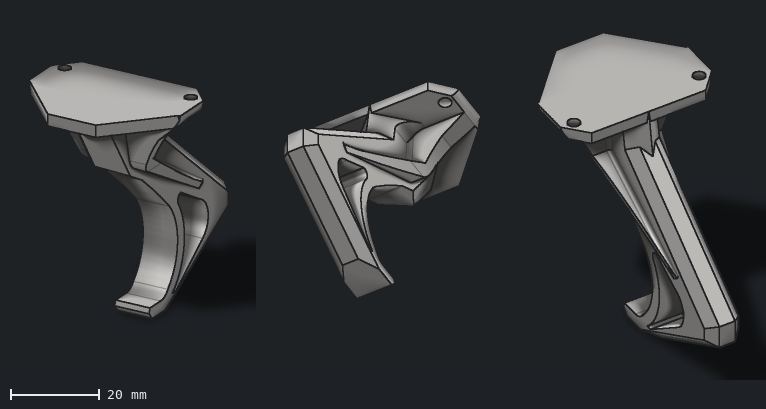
import cadquery as cq
import math

PLATE_THICKNESS = 3.0
PLATE_LENGTH = 30.0
PLATE_WIDTH = 40.0
PLATE_HALF_WIDTH = PLATE_WIDTH / 2
FRONT_HALF_WIDTH = 6.3
REAR_HALF_WIDTH = 15.05
SIDE_FRONT_Y = 14.8
SIDE_REAR_Y = 24.5
HOLE_DIAMETER = 3.0
HOLE_X = 16.5
HOLE_Y = 24.7

HALF_WEB = 4.55
ARM_CHAMFER = 2.5
PLATE_FILLET = 4.0
TOTAL_LENGTH = 64.0
TOTAL_HEIGHT = 58.0
REAR_END_TOP_Z = -38.0
REAR_END_BOTTOM_Z = -44.0
LIP_THICKNESS = 3.0
LIP_TOP_Z = LIP_THICKNESS - TOTAL_HEIGHT

NECK_REAR_TOP = (PLATE_LENGTH, 0)
NECK_REAR_BOTTOM = (31.8, -11.65)
NECK_FRONT_TOP = (0.1, 0)
NECK_FRONT_BOTTOM = (9.85, -15.05)
HOOK_ROOT = (23.2, -22.3)
ARM_INNER_END = (27.25, -7.95)
ARM_REAR_TOP = (TOTAL_LENGTH, REAR_END_TOP_Z)
ARM_REAR_BOTTOM = (TOTAL_LENGTH, REAR_END_BOTTOM_Z)
ARM_FOOT = (38.85, -TOTAL_HEIGHT)

LIP_END_BOTTOM = (27.9, -TOTAL_HEIGHT)
LIP_TIP = (26.4, -56.25)
LIP_END_TOP = (26.9, LIP_TOP_Z)
LIP_ROOT = (31.6, LIP_TOP_Z)
LIP_BEND_MIDDLE = (33.4, -54.5)
HOOK_BOTTOM = (34.75, -53.25)
HOOK_DEEPEST = (39.05, -42.4)
HOOK_TOP = (35.45, -33.2)
HOOK_BLEND = (29.8, -27.9)

WINDOW_REAR_BOTTOM = (50.2, -46.4)
WINDOW_FOOT_REAR = (38.3, LIP_TOP_Z)
WINDOW_FOOT_FRONT = (36.85, LIP_TOP_Z)
WINDOW_FRONT_MIDDLE = (42.05, -42.4)
WINDOW_FRONT_TOP = (39.4, -34.1)
WINDOW_TIP = (39.4, -32.3)
WINDOW_TOP_FRONT = (40.8, -31.8)
WINDOW_REAR_TOP = (48.7, -36.3)
WINDOW_REAR_MIDDLE = (52.55, -41.85)

RIB_CORNER_RADIUS = 4.0
RIB_ROOT_FILLET = 1.0
RIB_REAR_TOP = (19.8, 0)
RIB_REAR_BEND = (20.75, -15.2)
RIB_TIP_TOP = (49.65, -32.8)
RIB_TIP_BOTTOM = (48.5, -33.65)
RIB_FRONT_BEND = (18.2, -17.35)
RIB_FRONT_TOP = (14.15, 0)
FLARE_BULGE = (19.5, -1.6)
FLARE_SHOULDER = (18.75, -PLATE_THICKNESS)
FLARE_HOLLOW = (15.9, -5.7)
FLARE_KNEE = (13.2, -8.1)
FLARE_UPPER = (10.3, -12.8)
FLARE_MIDDLE = (8.05, -18.25)
FLARE_LOWER = (6.6, -23.5)
FLARE_TIP = (HALF_WEB, -33.65)

CUTTER_SIZE = 192.0


def extrude_side(profile, half_width):
    """Extrude a closed YZ profile equally to both sides of the centre plane."""
    return profile.extrude(half_width, both=True)


def bevel(body, start, end, depth):
    """Cut 45 degree bevels along both sides of the YZ line start-end.

    The outside of the body lies on the right when travelling from start to end.
    """
    dy = end[0] - start[0]
    dz = end[1] - start[1]
    length = math.hypot(dy, dz)
    outward = (dz / length, -dy / length)
    for side in (-1, 1):
        origin = (side * (HALF_WEB - depth), start[0], start[1])
        plane = cq.Plane(origin=origin, xDir=(0, dy, dz), normal=(side, outward[0], outward[1]))
        body = body.cut(cq.Workplane(plane).rect(CUTTER_SIZE, CUTTER_SIZE).extrude(CUTTER_SIZE))
    return body


def make_flare():
    """Front outline that narrows from the plate width to the web, as a prism along Y."""
    def mirrored(point):
        return (-point[0], point[1])

    return (
        cq.Workplane("XZ")
        .moveTo(-PLATE_HALF_WIDTH, 0)
        .lineTo(PLATE_HALF_WIDTH, 0)
        .threePointArc(FLARE_BULGE, FLARE_SHOULDER)
        .threePointArc(FLARE_HOLLOW, FLARE_KNEE)
        .threePointArc(FLARE_UPPER, FLARE_MIDDLE)
        .threePointArc(FLARE_LOWER, FLARE_TIP)
        .lineTo(*mirrored(FLARE_TIP))
        .threePointArc(mirrored(FLARE_LOWER), mirrored(FLARE_MIDDLE))
        .threePointArc(mirrored(FLARE_UPPER), mirrored(FLARE_KNEE))
        .threePointArc(mirrored(FLARE_HOLLOW), mirrored(FLARE_SHOULDER))
        .threePointArc(mirrored(FLARE_BULGE), (-PLATE_HALF_WIDTH, 0))
        .close()
        .extrude(TOTAL_LENGTH, both=True)
    )


def make_plate():
    right = [
        (FRONT_HALF_WIDTH, 0),
        (PLATE_HALF_WIDTH, SIDE_FRONT_Y),
        (PLATE_HALF_WIDTH, SIDE_REAR_Y),
        (REAR_HALF_WIDTH, PLATE_LENGTH),
    ]
    left = [(-x, y) for x, y in reversed(right)]
    return cq.Workplane("XY").polyline(right + left).close().extrude(-PLATE_THICKNESS)


def make_neck():
    """Web under the plate, filleted into it and sharpened to a V in front and at the rear."""
    outline = [NECK_REAR_TOP, NECK_REAR_BOTTOM, HOOK_ROOT, NECK_FRONT_BOTTOM, NECK_FRONT_TOP]
    side = extrude_side(cq.Workplane("YZ").polyline(outline).close(), PLATE_HALF_WIDTH)
    top_half = HALF_WEB + PLATE_FILLET
    fillet_end_z = -PLATE_THICKNESS - PLATE_FILLET
    mid_x = top_half - PLATE_FILLET * math.sqrt(0.5)
    mid_z = fillet_end_z + PLATE_FILLET * math.sqrt(0.5)
    section = (
        cq.Workplane("XZ")
        .moveTo(-top_half, -PLATE_THICKNESS)
        .threePointArc((-mid_x, mid_z), (-HALF_WEB, fillet_end_z))
        .lineTo(-HALF_WEB, -TOTAL_HEIGHT)
        .lineTo(HALF_WEB, -TOTAL_HEIGHT)
        .lineTo(HALF_WEB, fillet_end_z)
        .threePointArc((mid_x, mid_z), (top_half, -PLATE_THICKNESS))
        .lineTo(HALF_WEB, -PLATE_THICKNESS)
        .lineTo(HALF_WEB, 0)
        .lineTo(-HALF_WEB, 0)
        .lineTo(-HALF_WEB, -PLATE_THICKNESS)
        .close()
        .extrude(TOTAL_LENGTH, both=True)
    )
    neck = side.intersect(section)
    neck = bevel(neck, NECK_REAR_BOTTOM, NECK_REAR_TOP, HALF_WEB)
    return bevel(neck, NECK_FRONT_TOP, NECK_FRONT_BOTTOM, HALF_WEB)


def make_arm():
    """Sloping arm with the finger hook below it and a window between them."""
    outline = (
        cq.Workplane("YZ")
        .moveTo(*ARM_INNER_END)
        .lineTo(*ARM_REAR_TOP)
        .lineTo(*ARM_REAR_BOTTOM)
        .lineTo(*ARM_FOOT)
        .lineTo(*LIP_END_BOTTOM)
        .lineTo(*LIP_TIP)
        .lineTo(*LIP_END_TOP)
        .lineTo(*LIP_ROOT)
        .threePointArc(LIP_BEND_MIDDLE, HOOK_BOTTOM)
        .threePointArc(HOOK_DEEPEST, HOOK_TOP)
        .threePointArc(HOOK_BLEND, HOOK_ROOT)
        .close()
    )
    window = (
        cq.Workplane("YZ")
        .moveTo(*WINDOW_REAR_BOTTOM)
        .lineTo(*WINDOW_FOOT_REAR)
        .lineTo(*WINDOW_FOOT_FRONT)
        .threePointArc(WINDOW_FRONT_MIDDLE, WINDOW_FRONT_TOP)
        .threePointArc(WINDOW_TIP, WINDOW_TOP_FRONT)
        .lineTo(*WINDOW_REAR_TOP)
        .threePointArc(WINDOW_REAR_MIDDLE, WINDOW_REAR_BOTTOM)
        .close()
    )
    arm = extrude_side(outline, HALF_WEB).cut(extrude_side(window, HALF_WEB))
    arm = bevel(arm, ARM_REAR_TOP, NECK_REAR_BOTTOM, ARM_CHAMFER)
    arm = bevel(arm, ARM_REAR_BOTTOM, ARM_REAR_TOP, ARM_CHAMFER)
    return bevel(arm, ARM_FOOT, ARM_REAR_BOTTOM, ARM_CHAMFER)


def make_ribs(flare):
    """Bent band that stands out on both sides of the web, trimmed to the flare."""
    outline = [
        RIB_REAR_TOP,
        RIB_REAR_BEND,
        RIB_TIP_TOP,
        RIB_TIP_BOTTOM,
        RIB_FRONT_BEND,
        RIB_FRONT_TOP,
    ]
    band = extrude_side(cq.Workplane("YZ").polyline(outline).close(), PLATE_HALF_WIDTH)
    bend_y, bend_z = RIB_FRONT_BEND
    bend_edge = cq.selectors.NearestToPointSelector((0, bend_y, bend_z))
    band = band.edges("|X").edges(bend_edge).fillet(RIB_CORNER_RADIUS)
    return band.intersect(flare)


def make_root_fillets(flare):
    """Concave fillets between the rear faces of the ribs and the sides of the web."""
    fillets = None
    for start, end in ((RIB_REAR_TOP, RIB_REAR_BEND), (RIB_REAR_BEND, RIB_TIP_TOP)):
        dy = end[0] - start[0]
        dz = end[1] - start[1]
        length = math.hypot(dy, dz)
        for side in (-1, 1):
            plane = cq.Plane(
                origin=(side * HALF_WEB, start[0], start[1]),
                xDir=(side, 0, 0),
                normal=(0, dy, dz),
            )
            rearward = -side
            near = RIB_ROOT_FILLET * (1 - math.sqrt(0.5))
            piece = (
                cq.Workplane(plane)
                .moveTo(0, 0)
                .lineTo(RIB_ROOT_FILLET, 0)
                .threePointArc((near, rearward * near), (0, rearward * RIB_ROOT_FILLET))
                .close()
                .extrude(length)
            )
            fillets = piece if fillets is None else fillets.union(piece)
    return fillets.intersect(flare)


flare_prism = make_flare()
holes = (
    cq.Workplane("XY")
    .pushPoints([(-HOLE_X, HOLE_Y), (HOLE_X, HOLE_Y)])
    .circle(HOLE_DIAMETER / 2)
    .extrude(-PLATE_THICKNESS)
)
plate = make_plate().intersect(flare_prism).cut(holes)
result = plate.union(make_neck()).union(make_arm()).union(make_ribs(flare_prism))
result = result.union(make_root_fillets(flare_prism))